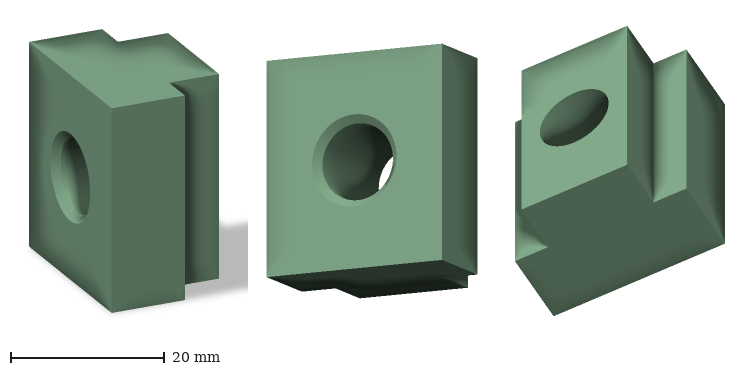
import cadquery as cq

length = 28.7
flange_width = 25.4
stem_width = 15.67
total_depth = 17.68
flange_depth = 10.5

hole_diameter = 10.2
chamfer_diameter = 12.23
chamfer_size = (chamfer_diameter - hole_diameter) / 2


def block(width, depth):
    """Full-length block centred on X and Z, starting at the front face."""
    return cq.Workplane("XY").box(width, depth, length, centered=(True, False, True))


body = block(flange_width, flange_depth).union(block(stem_width, total_depth))
body = body.faces("<Y").workplane(origin=(0, 0, 0)).hole(hole_diameter)
result = body.faces("<Y").edges("%CIRCLE").chamfer(chamfer_size)